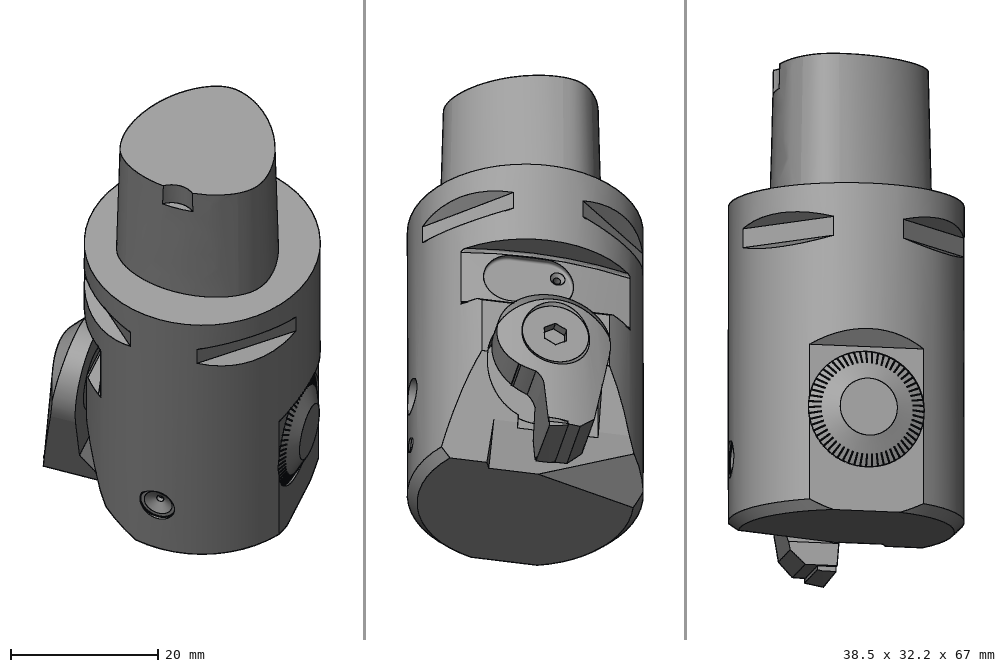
import cadquery as cq
import math


BODY_DIA = 32.0
BODY_R = BODY_DIA / 2
BODY_BOTTOM = -45.0
BODY_CHAMFER = 1.35
REACH = 40.2

SHANK_HEIGHT = 19.0
SHANK_BASE_R = 11.0
SHANK_TOP_R = 10.5
LOBE_RISE = 0.75
LOBE_COUNT = 3
LOBE_HALF_ANGLE = 25.0
SPLINE_STEPS = 8
KEY_NOTCH_DIA = 6.5
KEY_NOTCH_HEIGHT = 3.4
KEY_NOTCH_Y = -12.1

GRIP_COUNT = 4
GRIP_START_ANGLE = 45.0
GRIP_Z = -5.95
GRIP_FLOOR_DIST = 14.2
GRIP_FLOOR_HEIGHT = 2.6
GRIP_FLANK_ANGLE = 30.0

LAND_R = 15.7
LAND_TOP = -21.45
LAND_TOP_OFFSET = 0.51
LAND_BOTTOM_OFFSET = 0.55
LAND_TURN = 3.0

WINDOW_TOP = -12.45
WINDOW_BOTTOM = LAND_TOP
WINDOW_Y_MIN = -12.4
WINDOW_Y_MAX = 11.3
WINDOW_FLOOR_X = -12.25
WINDOW_FLOOR_R = 48.65
WINDOW_FILLET = 0.4
WINDOW_MID_Y = 2.0
OVAL_LENGTH = 12.45
OVAL_WIDTH = 7.5
OVAL_Z = -16.75
OVAL_DEPTH = 1.0
OVAL_FILLET = 0.35
JET_Y = -2.15
JET_Z = -15.3
JET_MOUTH_DIA = 2.0
JET_DIA = 1.0
JET_DEPTH = 2.0

PAD_X = -13.5
PAD_CHAMFER = 0.4
SLOPE_TOP = -30.3
SLOPE_BOTTOM_X = -8.25
RELIEF_TOP = -39.25
RELIEF_ANGLE = 30.0
RELIEF_WALL_Y = 6.5
RELIEF_WALL_DRAFT = 26.0
RELIEF_STOCK = 9.4
CORNER_POINT = (-9.0, -13.25, -41.35)
CORNER_NORMAL = (-0.48, -0.17, -0.86)

BORE_DIA = 16.0
BORE_R = BORE_DIA / 2
BORE_Z = -30.9
SEAT_FLOOR_X = -9.9
NECK_SLOT_Y_MAX = 3.15
FLAT_X = 13.95
FLAT_TOP = -22.25
DIAL_RIM_X = 13.6
DIAL_FACE_X = 15.5
DIAL_FACE_R = 3.95
MARK_COUNT = 60
MARK_WIDTH = 0.15
MARK_INNER_R = 6.35
MARK_DEPTH = 0.1

SIDE_X = -0.75
DIMPLE_Z = -35.5
DIMPLE_MOUTH_DIA = 5.2
DIMPLE_DIA = 5.0
DIMPLE_STEP = 0.2
DIMPLE_CONE_DIA = 4.0
DIMPLE_TIP_DIA = 1.0
DIMPLE_CONE_DEPTH = 0.8
DIMPLE_TIP_DEPTH = 0.7
SIDE_HOLE_Z = -30.15
SIDE_HOLE_DEPTH = 1.35
STUD_DIA = 2.0
STUD_Z = -38.25
STUD_RISE = 0.15
STUD_ROOT = 0.7

HEAD_DIA = 15.75
HEAD_R = HEAD_DIA / 2
HEAD_BACK_X = -15.5
HEAD_BOTTOM = -47.0
NECK_FLANK_ANGLE = 11.5
NECK_CORNER_START = (-5.15, -45.0)
NECK_CORNER_END_Y = -3.1
NECK_HOLLOW_START = (1.9, -40.2)
NECK_HOLLOW_MID = (2.9, -38.25)
NECK_HOLLOW_END = (5.2, -37.0)
CROWN_R = 16.75
CROWN_TOP_X = -20.45
CROWN_BOTTOM_X = -22.0
BEVEL_X = -18.1
BEVEL_END_Z = -25.4
BEVEL_DROP = 1.0
FOOT_TOP = -40.1
FOOT_KNEE_Z = -43.9
FOOT_X = -12.85
TIP_X = -22.45
TIP_BACK_X = -13.55
TIP_TOP = -45.9
TIP_TOP_DROP = 0.75
TIP_EDGE_Z = -47.25
TIP_OVERHANG = 0.7
TIP_RISE = 0.5
TIP_BACK_RISE = 0.35
TIP_Y_MAX = 1.35
TIP_Y_MIN = -1.3
OVERALL_LENGTH = 67.0
TIP_BOTTOM = SHANK_HEIGHT - OVERALL_LENGTH

SCREW_DIA = 9.2
SCREW_FACE_X = -20.1
SCREW_SINK = 2.7
HEX_FLATS = 3.1
HEX_DEPTH = 1.35


def box(x_range, y_range, z_range):
    sizes = [high - low for low, high in (x_range, y_range, z_range)]
    corner = cq.Vector(x_range[0], y_range[0], z_range[0])
    return cq.Workplane(obj=cq.Solid.makeBox(*sizes, corner))


def cylinder(radius, length, start, direction):
    return cq.Workplane(obj=cq.Solid.makeCylinder(radius, length, cq.Vector(*start), cq.Vector(*direction)))


def cone(start_r, end_r, length, start, direction):
    solid = cq.Solid.makeCone(start_r, end_r, length, cq.Vector(*start), cq.Vector(*direction))
    return cq.Workplane(obj=solid)


def prism_along_y(points, y_min, y_max):
    """Prism of an outline given as (x, z) points."""
    return cq.Workplane("XZ", origin=(0, y_max, 0)).polyline(points).close().extrude(y_max - y_min)


def lobed_point(mean_r, angle, z):
    """Point of the three-lobed outline whose outward normal points along the angle."""
    phase = LOBE_COUNT * (angle - math.pi / 2)
    reach = mean_r + LOBE_RISE * math.cos(phase)
    shift = -LOBE_COUNT * LOBE_RISE * math.sin(phase)
    x = reach * math.cos(angle) - shift * math.sin(angle)
    y = reach * math.sin(angle) + shift * math.cos(angle)
    return cq.Vector(x, y, z)


def lobed_wire(mean_r, z):
    edges = []
    pitch = 360 / LOBE_COUNT
    for lobe in range(LOBE_COUNT):
        middle = 90 + lobe * pitch
        stops = (middle - LOBE_HALF_ANGLE, middle + LOBE_HALF_ANGLE, middle + pitch - LOBE_HALF_ANGLE)
        for start, end in zip(stops, stops[1:]):
            angles = [start + (end - start) * i / SPLINE_STEPS for i in range(SPLINE_STEPS + 1)]
            points = [lobed_point(mean_r, math.radians(angle), z) for angle in angles]
            edges.append(cq.Edge.makeSpline(points))
    return cq.Wire.assembleEdges(edges)


def make_shank():
    wires = [lobed_wire(SHANK_BASE_R, 0), lobed_wire(SHANK_TOP_R, SHANK_HEIGHT)]
    shank = cq.Workplane(obj=cq.Solid.makeLoft(wires, True))
    notch_start = (0, KEY_NOTCH_Y, SHANK_HEIGHT - KEY_NOTCH_HEIGHT)
    return shank.cut(cylinder(KEY_NOTCH_DIA / 2, REACH, notch_start, (0, 0, 1)))


def make_land():
    """Smaller cylinder, leaning slightly, that bulges out of the -X side."""
    height = LAND_TOP - BODY_BOTTOM
    lean = (LAND_BOTTOM_OFFSET - LAND_TOP_OFFSET, 0, height)
    land = cylinder(LAND_R, REACH, (-LAND_BOTTOM_OFFSET, 0, BODY_BOTTOM), lean)
    land = land.rotate((0, 0, 0), (0, 0, 1), LAND_TURN)
    return land.intersect(box((-REACH, 0), (-REACH, REACH), (BODY_BOTTOM + BODY_CHAMFER, LAND_TOP)))


def grip_slot(angle):
    half = GRIP_FLOOR_HEIGHT / 2
    depth = BODY_R - GRIP_FLOOR_DIST
    flare = depth * math.tan(math.radians(GRIP_FLANK_ANGLE))
    outline = [
        (GRIP_FLOOR_DIST, GRIP_Z - half),
        (BODY_R, GRIP_Z - half - flare),
        (BODY_R, GRIP_Z + half + flare),
        (GRIP_FLOOR_DIST, GRIP_Z + half),
    ]
    return prism_along_y(outline, -BODY_R, BODY_R).rotate((0, 0, 0), (0, 0, 1), angle)


def make_window():
    window = box((-REACH, 0), (WINDOW_Y_MIN, WINDOW_Y_MAX), (WINDOW_BOTTOM, WINDOW_TOP))
    drum_start = (WINDOW_FLOOR_X + WINDOW_FLOOR_R, WINDOW_MID_Y, WINDOW_BOTTOM)
    window = window.cut(cylinder(WINDOW_FLOOR_R, WINDOW_TOP - WINDOW_BOTTOM, drum_start, (0, 0, 1)))
    window = window.faces("%CYLINDER").edges("%CIRCLE").fillet(WINDOW_FILLET)
    floor_x = WINDOW_FLOOR_X + OVAL_DEPTH
    oval = (
        cq.Workplane("YZ", origin=(floor_x, WINDOW_MID_Y, OVAL_Z))
        .slot2D(OVAL_LENGTH, OVAL_WIDTH)
        .extrude(-2 * OVAL_DEPTH)
        .faces(">X")
        .edges()
        .fillet(OVAL_FILLET)
    )
    mouth_r = JET_MOUTH_DIA / 2
    jet_r = JET_DIA / 2
    mouth = cone(mouth_r, jet_r, mouth_r - jet_r, (floor_x, JET_Y, JET_Z), (1, 0, 0))
    jet = cylinder(jet_r, JET_DEPTH, (floor_x, JET_Y, JET_Z), (1, 0, 0))
    return window.union(oval).union(mouth).union(jet)


def make_seat_cut():
    """Everything in front of the flat pad and of the slope below it."""
    outline = [
        (PAD_X + PAD_CHAMFER, WINDOW_BOTTOM),
        (PAD_X, WINDOW_BOTTOM - PAD_CHAMFER),
        (PAD_X, SLOPE_TOP),
        (SLOPE_BOTTOM_X, BODY_BOTTOM),
        (-REACH, BODY_BOTTOM),
        (-REACH, WINDOW_BOTTOM),
    ]
    return prism_along_y(outline, -REACH, REACH)


def make_relief():
    """Steeper relief under the slope, with a drafted wall at its +Y end."""
    share = (SLOPE_TOP - RELIEF_TOP) / (SLOPE_TOP - BODY_BOTTOM)
    top_x = PAD_X + share * (SLOPE_BOTTOM_X - PAD_X)
    angle = math.radians(RELIEF_ANGLE)
    plane = cq.Plane(
        origin=(top_x, RELIEF_WALL_Y, RELIEF_TOP),
        xDir=(0, -1, 0),
        normal=(-math.cos(angle), 0, -math.sin(angle)),
    )
    relief = cq.Workplane(plane).rect(REACH, -REACH, centered=False)
    relief = relief.extrude(RELIEF_STOCK, taper=-RELIEF_WALL_DRAFT)
    return relief.intersect(box((-REACH, 0), (-REACH, REACH), (-2 * REACH, RELIEF_TOP)))


def make_corner_cut():
    plane = cq.Plane(origin=CORNER_POINT, xDir=(0, 1, 0), normal=CORNER_NORMAL)
    return cq.Workplane(plane).rect(REACH, REACH).extrude(REACH)


def make_flat_cut():
    """Flat on the +X side with a 45 degree run-out at its top."""
    rise = REACH - FLAT_X
    outline = [
        (FLAT_X, BODY_BOTTOM),
        (FLAT_X, FLAT_TOP),
        (REACH, FLAT_TOP + rise),
        (REACH, BODY_BOTTOM),
    ]
    return prism_along_y(outline, -REACH, REACH)


def make_bore_cut():
    bore = cylinder(BORE_R, 2 * REACH, (-REACH, 0, BORE_Z), (1, 0, 0))
    neck_slot = box((-REACH, SEAT_FLOOR_X), (-BORE_R, NECK_SLOT_Y_MAX), (BODY_BOTTOM, BORE_Z))
    return bore.union(neck_slot)


def make_dimple():
    """Stepped conical dimple on the -Y side."""
    floor_y = DIMPLE_STEP - math.sqrt(BODY_R**2 - (abs(SIDE_X) + DIMPLE_MOUTH_DIA / 2) ** 2)
    inward = (0, 1, 0)
    start = (SIDE_X, floor_y, DIMPLE_Z)
    step = cylinder(DIMPLE_DIA / 2, REACH, start, (0, -1, 0))
    half_flare = (DIMPLE_MOUTH_DIA - DIMPLE_DIA) / 2
    mouth = cone(DIMPLE_DIA / 2, DIMPLE_MOUTH_DIA / 2, half_flare, start, (0, -1, 0))
    hollow = cone(DIMPLE_CONE_DIA / 2, DIMPLE_TIP_DIA / 2, DIMPLE_CONE_DEPTH, start, inward)
    tip = cylinder(DIMPLE_TIP_DIA / 2, DIMPLE_CONE_DEPTH + DIMPLE_TIP_DEPTH, start, inward)
    return step.union(mouth).union(hollow).union(tip)


def make_housing():
    body = cylinder(BODY_R, -BODY_BOTTOM, (0, 0, BODY_BOTTOM), (0, 0, 1)).faces("<Z").chamfer(BODY_CHAMFER)
    body = body.union(make_land())
    for index in range(GRIP_COUNT):
        body = body.cut(grip_slot(GRIP_START_ANGLE + index * 360 / GRIP_COUNT))
    for cut in (make_window(), make_seat_cut(), make_relief(), make_corner_cut(), make_flat_cut()):
        body = body.cut(cut)
    side_hole_y = BODY_R - SIDE_HOLE_DEPTH
    side_hole = cylinder(DIMPLE_DIA / 2, REACH, (SIDE_X, side_hole_y, SIDE_HOLE_Z), (0, 1, 0))
    stud = cylinder(STUD_DIA / 2, STUD_ROOT + STUD_RISE, (SIDE_X, BODY_R - STUD_ROOT, STUD_Z), (0, 1, 0))
    body = body.cut(make_bore_cut()).cut(make_dimple()).cut(side_hole)
    return body.union(stud).union(make_shank())


def make_dial():
    """Round adjuster in the cross bore; its conical end carries radial marks."""
    barrel = cylinder(BORE_R, DIAL_RIM_X - SEAT_FLOOR_X, (SEAT_FLOOR_X, 0, BORE_Z), (1, 0, 0))
    cap = cone(BORE_R, DIAL_FACE_R, DIAL_FACE_X - DIAL_RIM_X, (DIAL_RIM_X, 0, BORE_Z), (1, 0, 0))
    dial = barrel.union(cap)
    slope = (DIAL_FACE_X - DIAL_RIM_X) / (BORE_R - DIAL_FACE_R)
    inner_x = DIAL_RIM_X + slope * (BORE_R - MARK_INNER_R)
    outline = [
        (DIAL_RIM_X - MARK_DEPTH, BORE_R),
        (inner_x - MARK_DEPTH, MARK_INNER_R),
        (inner_x + MARK_DEPTH, MARK_INNER_R),
        (DIAL_RIM_X + MARK_DEPTH, BORE_R),
    ]
    mark = prism_along_y(outline, -MARK_WIDTH / 2, MARK_WIDTH / 2)
    marks = [
        mark.rotate((0, 0, 0), (1, 0, 0), index * 360 / MARK_COUNT).translate((0, 0, BORE_Z)).val()
        for index in range(MARK_COUNT)
    ]
    return dial.cut(cq.Workplane(obj=cq.Compound.makeCompound(marks)))


def make_head_blank():
    """Round head running into a narrow neck."""
    flank = math.radians(NECK_FLANK_ANGLE)
    neck = (
        cq.Workplane("YZ", origin=(FOOT_X, 0, 0))
        .moveTo(-HEAD_R * math.cos(flank), BORE_Z - HEAD_R * math.sin(flank))
        .lineTo(*NECK_CORNER_START)
        .lineTo(NECK_CORNER_END_Y, HEAD_BOTTOM)
        .lineTo(TIP_Y_MAX, HEAD_BOTTOM)
        .lineTo(*NECK_HOLLOW_START)
        .threePointArc(NECK_HOLLOW_MID, NECK_HOLLOW_END)
        .lineTo(0, BORE_Z)
        .close()
        .extrude(-REACH)
    )
    head = cylinder(HEAD_R, REACH, (HEAD_BACK_X, 0, BORE_Z), (-1, 0, 0)).union(neck)
    behind = [
        (0, BORE_Z + REACH),
        (HEAD_BACK_X, BORE_Z + REACH),
        (HEAD_BACK_X, FOOT_TOP),
        (FOOT_X, FOOT_KNEE_Z),
        (0, FOOT_KNEE_Z),
    ]
    return head.cut(prism_along_y(behind, -REACH, REACH))


def make_crown():
    """Leaning cylinder whose -X side is the front face of the cutting head."""
    lean = cq.Vector(CROWN_TOP_X - CROWN_BOTTOM_X, 0, BEVEL_END_Z - HEAD_BOTTOM)
    start = cq.Vector(CROWN_BOTTOM_X + CROWN_R, 0, HEAD_BOTTOM) - lean
    return cylinder(CROWN_R, 2 * REACH, start.toTuple(), lean.toTuple())


def make_bevel():
    """Everything outside a 45 degree cone, above the cone axis."""
    axis_z = BORE_Z - BEVEL_DROP
    radius = HEAD_R + BEVEL_DROP
    outside = box((-REACH, BEVEL_X), (-REACH, REACH), (axis_z, REACH))
    return outside.cut(cone(radius, 0, radius, (BEVEL_X, 0, axis_z), (-1, 0, 0)))


def make_tip():
    """Cutting tip: its front slopes outward and its underside rises toward the back."""
    across = [
        (TIP_Y_MAX, TIP_TOP),
        (TIP_Y_MIN, TIP_TOP - TIP_TOP_DROP),
        (TIP_Y_MIN, TIP_BOTTOM + TIP_RISE),
        (TIP_Y_MAX, TIP_BOTTOM),
    ]
    along = [
        (TIP_X + TIP_OVERHANG, TIP_TOP),
        (TIP_X, TIP_EDGE_Z),
        (TIP_X, TIP_BOTTOM),
        (TIP_BACK_X, TIP_BOTTOM + TIP_BACK_RISE),
        (TIP_BACK_X, TIP_TOP),
    ]
    bar = cq.Workplane("YZ", origin=(TIP_BACK_X, 0, 0)).polyline(across).close().extrude(TIP_X - TIP_BACK_X)
    return bar.intersect(prism_along_y(along, TIP_Y_MIN, TIP_Y_MAX))


def make_cutting_head():
    head = make_head_blank().intersect(make_crown()).cut(make_bevel())
    screw_r = SCREW_DIA / 2
    screw_hole = cylinder(screw_r, HEAD_BACK_X - SCREW_FACE_X, (SCREW_FACE_X, 0, BORE_Z), (1, 0, 0))
    sink = cone(screw_r, screw_r + SCREW_SINK, SCREW_SINK, (SCREW_FACE_X, 0, BORE_Z), (-1, 0, 0))
    return head.cut(screw_hole).cut(sink).union(make_tip())


def make_screw():
    length = HEAD_BACK_X - SCREW_FACE_X
    screw = cylinder(SCREW_DIA / 2, length, (SCREW_FACE_X, 0, BORE_Z), (1, 0, 0))
    corner_dia = HEX_FLATS / math.cos(math.pi / 6)
    socket = (
        cq.Workplane("YZ", origin=(SCREW_FACE_X, 0, BORE_Z))
        .transformed(rotate=(0, 0, 90))
        .polygon(6, corner_dia)
        .extrude(HEX_DEPTH)
    )
    return screw.cut(socket)


housing = make_housing()
dial = make_dial()
cutting_head = make_cutting_head()
screw = make_screw()

result = cq.Compound.makeCompound([body.solids().val() for body in (housing, dial, cutting_head, screw)])